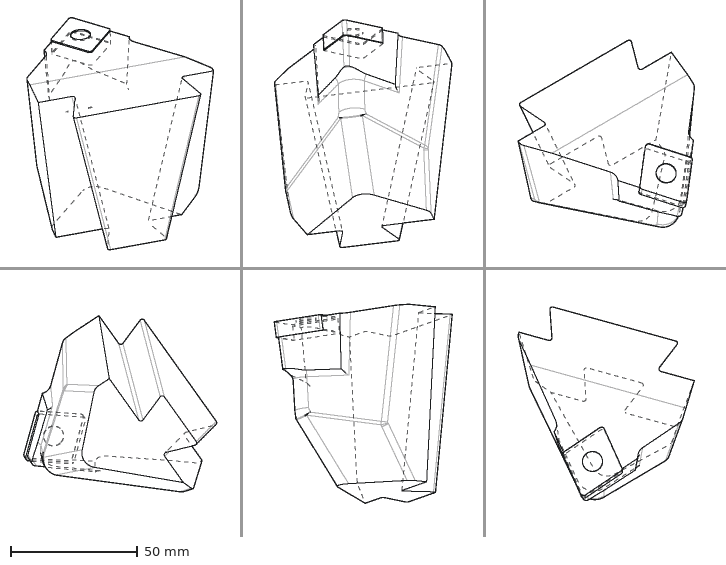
import cadquery as cq
import math

HEIGHT = 69.25
FLANK_Y = {1: 42.5, -1: -29.8}
FLANK_DRAFT = math.radians(6)
WEDGE_ANGLE = math.radians(40)
TOP_NOSE_X = -52.6
NOSE_SLOPE = 0.063
CHIN_ANGLE = math.radians(44.5)
CHIN_NOSE_X = -29.85
CHIN_SLOPE = 0.726
NOSE_RADIUS = 6.95
CORNER_RADIUS = 3.6
CHIN_RADIUS = 3.2

TENON_LENGTH = 13.75
TENON_CENTRE_Y = 7.15
TENON_NECK_WIDTH = 43.4
TENON_ANGLE = math.radians(20)
TENON_TAPER = math.radians(11.5)
TENON_RADIUS = 1.0

SLOPE_START_X = -11.85
SLOPE_ANGLE = 8.5

HEAD_FLOOR_Z = 41.2
HEAD_INSET = 0.6
HEAD_TIP_RADIUS = 1.5
HEAD_LENGTH = 30.4
HEAD_BACK_X = {1: -30.3, -1: -31.5}
LEDGE_REACH = 4.35
LEDGE_RISE = 3.3
WALL_RADIUS = 4.2

INSERT_CENTRE_X = -42.1
INSERT_HALF_LENGTH = 14.9
INSERT_HALF_ANGLE = math.radians(40)
INSERT_THICKNESS = 6.3
INSERT_RAISE = 0.6
INSERT_RADIUS = 1.2
HOLE_DIAMETER = 7.95
HOLE_DEPTH = 0.6

CLEARANCE = 21.7


def upper_nose_x(z):
    return TOP_NOSE_X + NOSE_SLOPE * (HEIGHT - z)


def block_section(z):
    """Five corners of the wedge block at height z."""
    nose_x = upper_nose_x(z)
    inset = (HEIGHT - z) * math.tan(FLANK_DRAFT)
    left = FLANK_Y[1] - inset
    right = FLANK_Y[-1] + inset
    left_x = nose_x + left / math.tan(WEDGE_ANGLE)
    right_x = nose_x - right / math.tan(WEDGE_ANGLE)
    return [(nose_x, 0), (right_x, right), (0, right), (0, left), (left_x, left)]


def chin_section(z):
    """Triangle bounded by the lower wedge faces at height z."""
    nose_x = CHIN_NOSE_X - CHIN_SLOPE * z
    half_width = -nose_x * math.tan(CHIN_ANGLE)
    return [(nose_x, 0), (0, -half_width), (0, half_width)]


def tapered_solid(section):
    """Flat-sided solid through a section function from the base to the top."""
    base = [cq.Vector(x, y, 0) for x, y in section(0)]
    top = [cq.Vector(x, y, HEIGHT) for x, y in section(HEIGHT)]
    outlines = [base, top]
    for i in range(len(base)):
        outlines.append([base[i - 1], base[i], top[i], top[i - 1]])
    faces = [cq.Face.makeFromWires(cq.Wire.makePolygon(points, close=True)) for points in outlines]
    return cq.Workplane(cq.Solid.makeSolid(cq.Shell.makeShell(faces)).fix())


def is_sloping(edge):
    """True for edges between wedge and flank faces, which are neither level nor on the shoulder."""
    start, end = edge.startPoint(), edge.endPoint()
    return abs(start.z - end.z) > 0.7 and min(start.x, end.x) < -0.7


def centre_plane_ends(edge):
    """Number of the edge's ends that lie in the plane Y = 0."""
    return sum(abs(vertex.Y) < 0.01 for vertex in edge.Vertices())


def round_sloping_edges(block, end_count, radius):
    """Round the sloping edges that have the given number of ends in the plane Y = 0."""
    edges = [e for e in block.edges().vals() if is_sloping(e) and centre_plane_ends(e) == end_count]
    return block.newObject(edges).fillet(radius)


def wedge_block():
    """Upper and lower wedges with the chin, flank corners and noses rounded in that order."""
    block = tapered_solid(block_section).intersect(tapered_solid(chin_section))
    block = round_sloping_edges(block, 1, CHIN_RADIUS)
    block = round_sloping_edges(block, 0, CORNER_RADIUS)
    return round_sloping_edges(block, 2, NOSE_RADIUS)


def tenon_section(z):
    """Dovetail outline at height z; it narrows downwards."""
    half_neck = TENON_NECK_WIDTH / 2 - (HEIGHT - z) * math.tan(TENON_TAPER)
    half_tail = half_neck + TENON_LENGTH * math.tan(TENON_ANGLE)
    outline = [(0, -half_neck), (TENON_LENGTH, -half_tail), (TENON_LENGTH, half_tail), (0, half_neck)]
    return [(x, TENON_CENTRE_Y + y) for x, y in outline]


def block_with_tenon():
    """Wedge block and full-height tenon, rounded at the neck and tail corners of the tenon."""
    body = wedge_block().union(tapered_solid(tenon_section))
    reach = TENON_NECK_WIDTH / 2
    neck_and_tail = cq.selectors.BoxSelector((-0.7, TENON_CENTRE_Y - reach, 0.7),
                                             (TENON_LENGTH + 0.7, TENON_CENTRE_Y + reach, HEIGHT - 0.7))
    return body.edges(neck_and_tail).fillet(TENON_RADIUS)


def tilted_plane(x, rise=0):
    """Workplane parallel to the sloping top, centred over x and raised along its normal."""
    angle = math.radians(SLOPE_ANGLE)
    z = HEIGHT + (x - SLOPE_START_X) * math.tan(angle)
    plane = cq.Plane(origin=(x, 0, z), xDir=(math.cos(angle), 0, math.sin(angle)),
                     normal=(-math.sin(angle), 0, math.cos(angle)))
    return cq.Workplane(plane).workplane(offset=rise)


def above_slope():
    """Everything above the sloping top."""
    width = 2 * HEIGHT
    return tilted_plane(SLOPE_START_X).rect(width, width).extrude(CLEARANCE)


def insert_blank():
    """Rhombic prism with rounded corners, without the centre hole."""
    half_width = INSERT_HALF_LENGTH * math.tan(INSERT_HALF_ANGLE)
    outline = [(-INSERT_HALF_LENGTH, 0), (0, -half_width), (INSERT_HALF_LENGTH, 0), (0, half_width)]
    top = tilted_plane(INSERT_CENTRE_X, INSERT_RAISE)
    prism = top.polyline(outline).close().extrude(-INSERT_THICKNESS)
    return prism.edges(cq.selectors.ParallelDirSelector(top.plane.zDir)).fillet(INSERT_RADIUS)


def cutting_insert():
    hole = tilted_plane(INSERT_CENTRE_X, INSERT_RAISE).circle(HOLE_DIAMETER / 2).extrude(-HOLE_DEPTH)
    return insert_blank().cut(hole)


def outward_direction(side):
    """Horizontal direction pointing out of the wedge face on one side."""
    return cq.Vector(-math.sin(WEDGE_ANGLE), side * math.cos(WEDGE_ANGLE), 0)


def concave_outline(origin, outward, along, reach, rise):
    """Cutter section: a concave arc rising from the wedge face, then a straight wall."""
    plane = cq.Plane(origin=origin, xDir=outward, normal=outward.cross(along))
    diagonal = math.sqrt(0.5)
    arc_middle = (reach * (1 - diagonal), rise * diagonal)
    return (cq.Workplane(plane)
            .moveTo(0, 0).threePointArc(arc_middle, (reach, rise)).lineTo(CLEARANCE, rise)
            .lineTo(CLEARANCE, -CLEARANCE).lineTo(0, -CLEARANCE).close())


def wall_cutter(side):
    """Cutter that ends the head along one wedge face, following the lean of that face."""
    x = HEAD_BACK_X[side]
    slope = math.tan(WEDGE_ANGLE)
    origin = cq.Vector(x, side * (x - upper_nose_x(HEAD_FLOOR_Z)) * slope, HEAD_FLOOR_Z)
    forward = cq.Vector(-math.cos(WEDGE_ANGLE), -side * math.sin(WEDGE_ANGLE), 0)
    outline = concave_outline(origin, outward_direction(side), forward, WALL_RADIUS, WALL_RADIUS).wire().val()
    rise = HEIGHT - HEAD_FLOOR_Z
    return cq.Workplane(cq.Solid.extrudeLinear(outline, [], cq.Vector(0, side * rise * slope * NOSE_SLOPE, rise)))


def ledge_cutters():
    """Cutters that round the underside of the head into both wedge faces and the nose."""
    up = cq.Vector(0, 0, 1)
    nose_centre = cq.Vector(upper_nose_x(HEAD_FLOOR_Z) + NOSE_RADIUS / math.sin(WEDGE_ANGLE), 0, HEAD_FLOOR_Z)

    def ledge_outline(side):
        outward = outward_direction(side)
        return concave_outline(nose_centre + outward * NOSE_RADIUS, outward, up, LEDGE_REACH, LEDGE_RISE)

    along_wedges = [ledge_outline(side).extrude(side * HEIGHT) for side in (1, -1)]
    nose_turn = 180 - 2 * math.degrees(WEDGE_ANGLE)
    around_nose = ledge_outline(1).revolve(nose_turn, (-NOSE_RADIUS, 0), (-NOSE_RADIUS, 1))
    return [*along_wedges, around_nose]


def head():
    """Overhanging head that carries the insert, with its faces parallel to the insert's."""
    tip_x = -INSERT_HALF_LENGTH + HEAD_INSET / math.sin(INSERT_HALF_ANGLE)
    back_x = tip_x + HEAD_LENGTH
    half_width = HEAD_LENGTH * math.tan(INSERT_HALF_ANGLE)
    top = tilted_plane(INSERT_CENTRE_X)
    wedge = top.polyline([(tip_x, 0), (back_x, -half_width), (back_x, half_width)]).close().extrude(-HEIGHT / 2)
    wedge = wedge.edges(cq.selectors.ParallelDirSelector(top.plane.zDir)).edges("<X").fillet(HEAD_TIP_RADIUS)
    floor_width = 4 * HEIGHT
    below_floor = cq.Workplane().rect(floor_width, floor_width).extrude(HEAD_FLOOR_Z)
    wedge = wedge.cut(below_floor)
    for cutter in [wall_cutter(1), wall_cutter(-1), *ledge_cutters()]:
        wedge = wedge.cut(cutter)
    return wedge


def holder():
    """Wedge block with its tenon and head, cut back by the sloping top and the insert pocket."""
    body = block_with_tenon().cut(above_slope())
    return body.union(head()).cut(insert_blank())


result = cq.Compound.makeCompound([holder().val(), cutting_insert().val()])